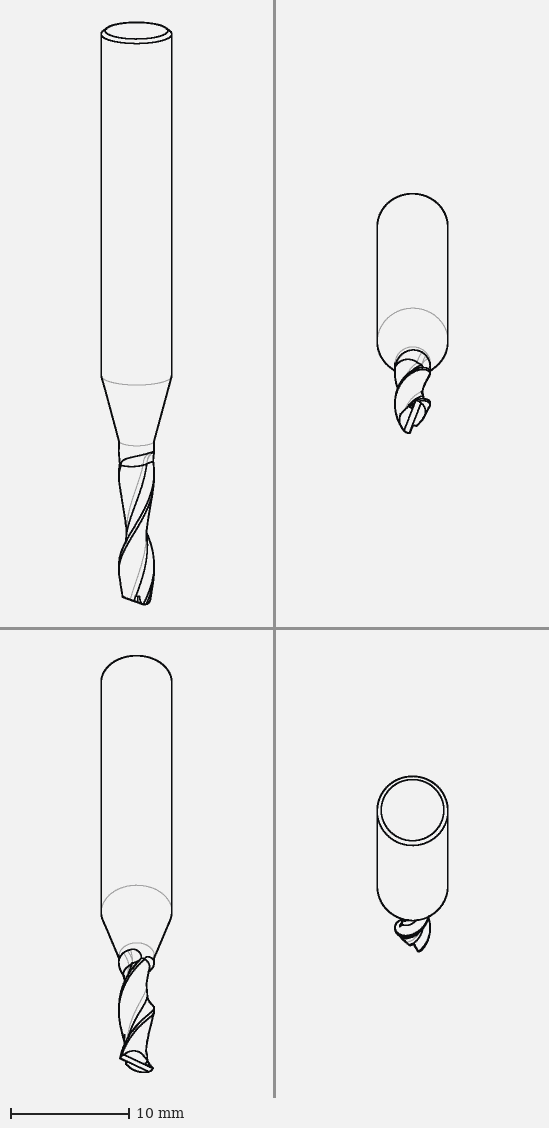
import cadquery as cq
import math

total_length = 50.0
shank_radius = 3.0
cutter_radius = 1.5
shank_chamfer_radial = 0.35
shank_chamfer_height = 0.3

flute_top = 12.05
cone_bottom = 14.0
cone_top = 19.75

helix_angle = 30.0
tooth_count = 2
helix_pitch = 2 * math.pi * cutter_radius / math.tan(math.radians(helix_angle))
flute_twist = 360.0 * flute_top / helix_pitch

core_half_width = 0.85
heel_drop = 0.1
core_edge = (-0.75, -0.55)
flute_bottom = (-0.5, -0.95)
rake_offset = 0.4
land_end_offset = 0.1
back_bulge = (0.75, -0.9)

runout_radius = 1.3
runout_straight = 0.05
runout_height = runout_radius + runout_straight

tip_flat_half_width = 0.25
relief_half_width = 1.0
relief_height = 0.3
relief_outer_height = 0.6
gash_inner_radius = 0.7
gash_height = 0.6
gash_face_offset = 0.3


def on_cutting_circle(x):
    """Point on the -Y side of the cutting circle at the given x."""
    return (x, -math.sqrt(cutter_radius**2 - x**2))


def opposite(point):
    """The same point on the other tooth, half a turn around the axis."""
    return (-point[0], -point[1])


def flute_section(height):
    """Closed two-tooth section: flute, land and convex back, then the same half a turn on."""
    heel = (-core_half_width, -heel_drop)
    tip = on_cutting_circle(-rake_offset)
    land_middle = on_cutting_circle(-(rake_offset + land_end_offset) / 2)
    land_end = on_cutting_circle(-land_end_offset)

    section = cq.Workplane("XY").workplane(offset=height).moveTo(*heel)
    for place in (lambda point: point, opposite):
        section = (
            section.lineTo(*place(core_edge))
            .threePointArc(place(flute_bottom), place(tip))
            .threePointArc(place(land_middle), place(land_end))
            .threePointArc(place(back_bulge), place(opposite(heel)))
        )
    return section.close()


def end_relief_envelope():
    """Prism along X whose underside rises on both sides of the cutting edges."""
    return (
        cq.Workplane("YZ")
        .moveTo(-tip_flat_half_width, 0)
        .lineTo(tip_flat_half_width, 0)
        .lineTo(relief_half_width, relief_height)
        .lineTo(cutter_radius, relief_outer_height)
        .lineTo(cutter_radius, flute_top)
        .lineTo(-cutter_radius, flute_top)
        .lineTo(-cutter_radius, relief_outer_height)
        .lineTo(-relief_half_width, relief_height)
        .close()
        .extrude(cutter_radius, both=True)
    )


def make_cutter():
    """Twisted cutting body with end relief and one gash in front of each end edge."""
    cutter = (
        flute_section(0)
        .twistExtrude(flute_top, flute_twist)
        .rotate((0, 0, 0), (0, 0, 1), -flute_twist)
    )
    cutter = cutter.intersect(end_relief_envelope())
    gash = cq.Workplane("XY").box(
        cutter_radius, cutter_radius, gash_height, centered=False
    ).translate((gash_inner_radius, -gash_face_offset - cutter_radius, 0))
    for tooth in range(tooth_count):
        cutter = cutter.cut(gash.rotate((0, 0, 0), (0, 0, 1), tooth * 360.0 / tooth_count))
    return cutter


def make_runout():
    """Neck between flutes and cone, where the flute walls curve out to the full diameter."""
    runout_top = flute_top + runout_height
    block_side = 4 * shank_radius
    block = (
        cq.Workplane("XY")
        .workplane(offset=runout_top)
        .rect(block_side, block_side)
        .extrude(cone_bottom - runout_top)
    )
    stem = flute_section(flute_top).extrude(runout_height)
    pick_margin = 0.005
    root_edges = cq.selectors.BoxSelector(
        (-shank_radius, -shank_radius, runout_top - pick_margin),
        (shank_radius, shank_radius, runout_top + pick_margin),
    )
    flared = block.union(stem).edges(root_edges).fillet(runout_radius)
    neck = (
        cq.Workplane("XY")
        .workplane(offset=flute_top)
        .circle(cutter_radius)
        .extrude(cone_bottom - flute_top)
    )
    return flared.intersect(neck)


def make_shank():
    """Cylindrical shank with a chamfered top, a cone and the fluted neck."""
    shank = (
        cq.Workplane("XZ")
        .moveTo(0, cone_bottom)
        .lineTo(cutter_radius, cone_bottom)
        .lineTo(shank_radius, cone_top)
        .lineTo(shank_radius, total_length - shank_chamfer_height)
        .lineTo(shank_radius - shank_chamfer_radial, total_length)
        .lineTo(0, total_length)
        .close()
        .revolve(360, (0, 0, 0), (0, 1, 0))
    )
    return shank.union(make_runout())


cutter = make_cutter()
shank = make_shank()
result = cq.Compound.makeCompound([cutter.val(), shank.val()])